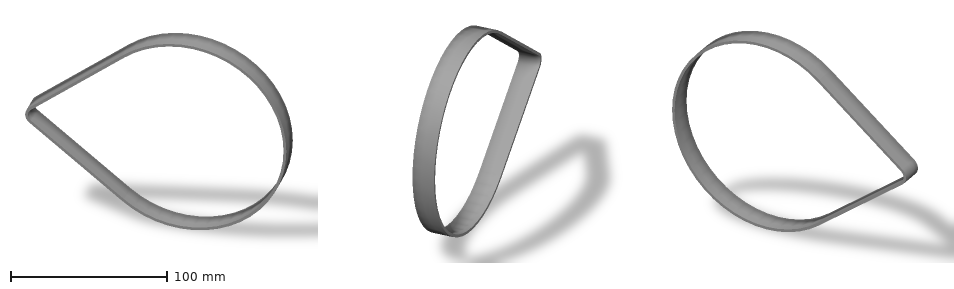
import cadquery as cq
import math

length = 174.0
height = 135.6
depth = 15.0
wall = 2.0
tip_radius = 7.0

loop_radius = height / 2
center_distance = length - loop_radius - tip_radius

normal_x = -(loop_radius - tip_radius) / center_distance
normal_z = math.sqrt(1 - normal_x**2)


def teardrop(offset):
    """Solid teardrop with its outline moved inward by offset; large arc centred on the origin."""
    large = loop_radius - offset
    small = tip_radius - offset
    loop_x, loop_z = large * normal_x, large * normal_z
    tip_x, tip_z = small * normal_x - center_distance, small * normal_z
    return (
        cq.Workplane("XZ")
        .moveTo(loop_x, loop_z)
        .threePointArc((large, 0), (loop_x, -loop_z))
        .lineTo(tip_x, -tip_z)
        .threePointArc((-center_distance - small, 0), (tip_x, tip_z))
        .close()
        .extrude(depth / 2, both=True)
    )


result = teardrop(0).cut(teardrop(wall))